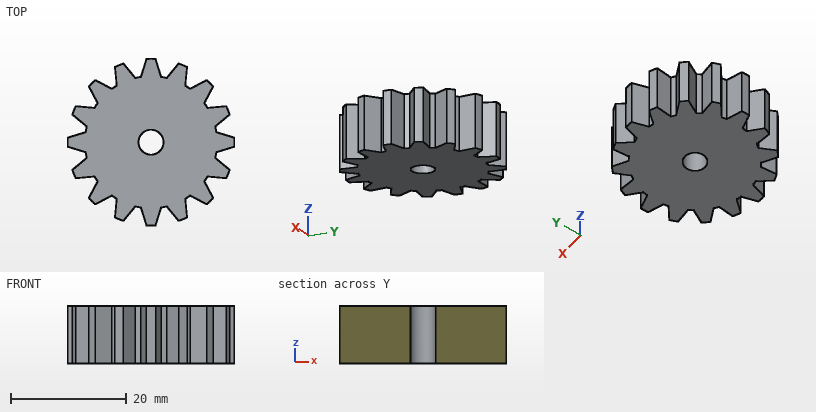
import cadquery as cq
import math

TOOTH_COUNT = 16
TIP_DIAMETER = 29.0
ROOT_DIAMETER = 23.0
FACE_WIDTH = 10.0
BORE_DIAMETER = 4.3
TOOTH_TIP_WIDTH = 1.6
TOOTH_ROOT_WIDTH = 3.52

TIP_RADIUS = TIP_DIAMETER / 2
ROOT_RADIUS = ROOT_DIAMETER / 2
TOOTH_PITCH = 2 * math.pi / TOOTH_COUNT
TIP_HALF_ANGLE = math.asin(TOOTH_TIP_WIDTH / TIP_DIAMETER)
ROOT_HALF_ANGLE = math.asin(TOOTH_ROOT_WIDTH / ROOT_DIAMETER)


def on_circle(radius, angle):
    """Point at the given radius and angle about the gear axis."""
    return (radius * math.cos(angle), radius * math.sin(angle))


def gear_outline():
    """Closed outline of straight-flanked teeth joined by tip and root arcs."""
    outline = cq.Workplane("XY").moveTo(*on_circle(ROOT_RADIUS, -ROOT_HALF_ANGLE))
    for tooth in range(TOOTH_COUNT):
        center = tooth * TOOTH_PITCH
        tip_start = on_circle(TIP_RADIUS, center - TIP_HALF_ANGLE)
        tip_middle = on_circle(TIP_RADIUS, center)
        tip_end = on_circle(TIP_RADIUS, center + TIP_HALF_ANGLE)
        root_start = on_circle(ROOT_RADIUS, center + ROOT_HALF_ANGLE)
        root_middle = on_circle(ROOT_RADIUS, center + TOOTH_PITCH / 2)
        root_end = on_circle(ROOT_RADIUS, center + TOOTH_PITCH - ROOT_HALF_ANGLE)

        outline = outline.lineTo(*tip_start)
        outline = outline.threePointArc(tip_middle, tip_end)
        outline = outline.lineTo(*root_start)
        outline = outline.threePointArc(root_middle, root_end)
    return outline.close()


def bore():
    """Cylinder that cuts the shaft hole through the full face width."""
    return cq.Workplane("XY").circle(BORE_DIAMETER / 2).extrude(FACE_WIDTH)


result = gear_outline().extrude(FACE_WIDTH).cut(bore())